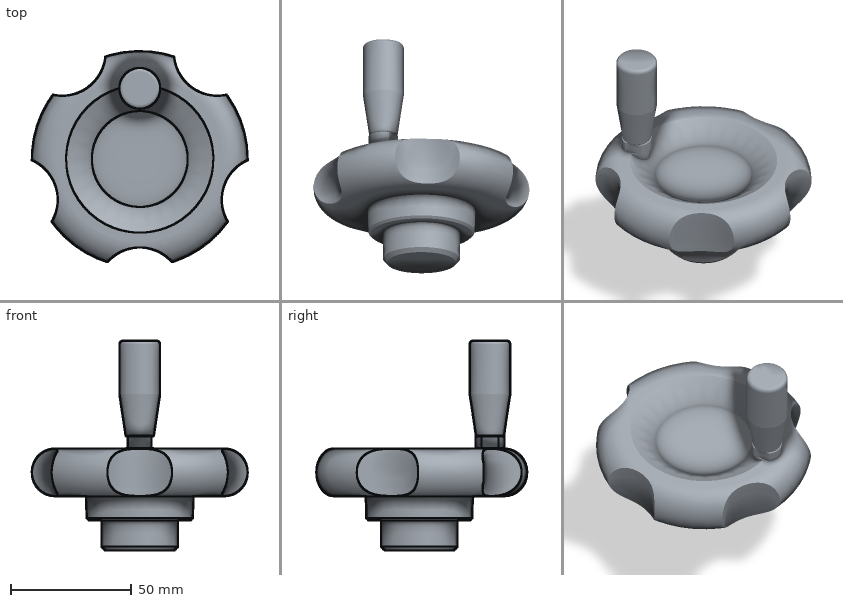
import cadquery as cq

outer_radius = 45.0
rim_height = 20.0
rim_round = rim_height / 2
rim_flat_radius = outer_radius - rim_round

hub_radius = 16.0
hub_height = 12.6
hub_chamfer_height = 1.7
hub_chamfer_width = 1.6
collar_top_radius = 22.5
collar_bottom_radius = 22.1
collar_height = 10.0
collar_chamfer = 1.0
rim_bottom = hub_height + collar_height
rim_top = rim_bottom + rim_height

dish_radius = 30.2
dish_floor_radius = 20.0
dish_depth = 7.0
lip_width = 0.45
lip_height = 0.3

scallop_count = 5
scallop_radius = 18.0
scallop_inner_distance = 36.9
first_scallop_angle = -90
scallop_margin = 0.9

handle_y = 29.4
overall_height = 87.5
grip_radius = 17.0 / 2
grip_fillet = 1.6
grip_taper_top = 65.1
grip_taper_bottom = 48.0
grip_neck_radius = 5.9
grip_chamfer = 0.5
spindle_radius = 6.1
spindle_across_flats = 10.0
spindle_gap = 0.2
spindle_bottom = rim_top + spindle_gap
stud_radius = 5.5
stud_bottom = rim_top - dish_depth


def make_wheel():
    profile = (
        cq.Workplane("XZ")
        .lineTo(hub_radius - hub_chamfer_width, 0)
        .lineTo(hub_radius, hub_chamfer_height)
        .lineTo(hub_radius, hub_height)
        .lineTo(collar_bottom_radius - collar_chamfer, hub_height)
        .lineTo(collar_bottom_radius, hub_height + collar_chamfer)
        .lineTo(collar_top_radius, rim_bottom)
        .lineTo(rim_flat_radius, rim_bottom)
        .threePointArc((outer_radius, rim_bottom + rim_round), (rim_flat_radius, rim_top))
        .lineTo(dish_radius + lip_width, rim_top)
        .lineTo(dish_radius, rim_top - lip_height)
        .lineTo(dish_floor_radius, rim_top - dish_depth)
        .lineTo(0, rim_top - dish_depth)
        .close()
    )
    return profile.revolve(360, (0, 0, 0), (0, 1, 0))


def make_scallop_cutters():
    """Upright cylinders spaced evenly around the rim."""
    return (
        cq.Workplane("XY", origin=(0, 0, rim_bottom - scallop_margin))
        .polarArray(scallop_inner_distance + scallop_radius, first_scallop_angle, 360, scallop_count)
        .circle(scallop_radius)
        .extrude(rim_height + 2 * scallop_margin)
    )


def make_grip():
    profile = (
        cq.Workplane("XZ", origin=(0, handle_y, 0))
        .moveTo(0, grip_taper_bottom - grip_chamfer)
        .lineTo(grip_neck_radius - grip_chamfer, grip_taper_bottom - grip_chamfer)
        .lineTo(grip_neck_radius, grip_taper_bottom)
        .lineTo(grip_radius, grip_taper_top)
        .lineTo(grip_radius, overall_height)
        .lineTo(0, overall_height)
        .close()
    )
    grip = profile.revolve(360, (0, 0, 0), (0, 1, 0))
    return grip.faces(">Z").edges().fillet(grip_fillet)


def make_spindle():
    """Cylinder with two flats that face -X and +X."""
    height = grip_taper_bottom - grip_chamfer - spindle_bottom
    base = cq.Workplane("XY", origin=(0, handle_y, spindle_bottom))
    cylinder = base.circle(spindle_radius).extrude(height)
    flats = base.rect(spindle_across_flats, 2 * spindle_radius).extrude(height)
    return cylinder.intersect(flats)


def make_stud():
    """Round end of the handle, seated in the wheel."""
    base = cq.Workplane("XY", origin=(0, handle_y, stud_bottom))
    return base.circle(stud_radius).extrude(spindle_bottom - stud_bottom)


stud = make_stud()
handle = make_grip().union(make_spindle()).union(stud)
wheel = make_wheel().cut(make_scallop_cutters()).cut(stud)

result = cq.Compound.makeCompound([wheel.val(), handle.val()])